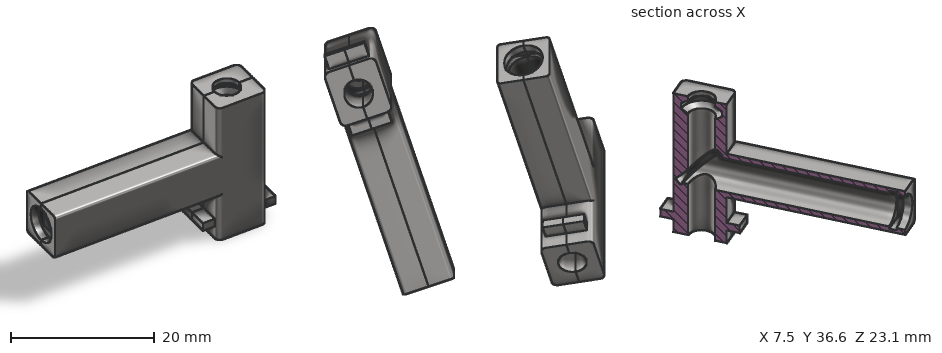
import cadquery as cq
import math

WIDTH = 7.5
COLUMN_DEPTH = 8.0
COLUMN_HEIGHT = 23.1
COLUMN_FILLET = 0.8

OVERALL_LENGTH = 36.57
TAB_LENGTH = 1.95
ARM_HEIGHT = 7.3
ARM_BOTTOM = 7.6
ARM_FILLET = 0.55
ARM_CENTER_Z = ARM_BOTTOM + ARM_HEIGHT / 2
COLUMN_BACK_Y = COLUMN_DEPTH / 2
ARM_END_Y = COLUMN_BACK_Y + TAB_LENGTH - OVERALL_LENGTH

TAB_WIDTH = WIDTH - 2 * COLUMN_FILLET
TAB_THICKNESS = 1.3
TAB_BOTTOM = 2.12

UPRIGHT_BORE_DIAMETER = 4.0
UPRIGHT_BORE_Y = -0.22
ARM_BORE_DIAMETER = 5.5

WINDOW_SIZE = 6.2
WINDOW_THICKNESS = 1.1
WINDOW_LIP = 1.28

LENS_DIAMETER = 6.0
LENS_EDGE = 0.8
LENS_EDGE_TOP_DEPTH = 1.43
LENS_SURFACE_RADIUS = 4.75

MIRROR_LENGTH = 8.78
MIRROR_WIDTH = 6.0
MIRROR_THICKNESS = 1.1
MIRROR_TILT = 45.0


def column():
    bar = cq.Workplane("XY").rect(WIDTH, COLUMN_DEPTH).extrude(COLUMN_HEIGHT)
    return bar.edges("|Z").fillet(COLUMN_FILLET)


def arm():
    """Bar from the middle of the column to the end of the arm."""
    bar = cq.Workplane("XY").box(WIDTH, -ARM_END_Y, ARM_HEIGHT)
    bar = bar.edges("|Y").fillet(ARM_FILLET)
    return bar.translate((0, ARM_END_Y / 2, ARM_CENTER_Z))


def tabs():
    """One bar through the column, whose two ends are the front and back tabs."""
    span = COLUMN_DEPTH + 2 * TAB_LENGTH
    return cq.Workplane("XY").workplane(offset=TAB_BOTTOM).rect(TAB_WIDTH, span).extrude(TAB_THICKNESS)


def upright_bore():
    circle = cq.Workplane("XY").center(0, UPRIGHT_BORE_Y).circle(UPRIGHT_BORE_DIAMETER / 2)
    return circle.extrude(COLUMN_HEIGHT)


def on_mirror_plane(shape):
    """Tilt a shape built on the XY plane so that this plane becomes the lower face of the mirror."""
    tilted = shape.rotate((0, 0, 0), (1, 0, 0), -MIRROR_TILT)
    return tilted.translate((0, UPRIGHT_BORE_Y, ARM_CENTER_Z))


def arm_bore():
    end_face = cq.Workplane("XZ", origin=(0, ARM_END_Y, ARM_CENTER_Z))
    bore = end_face.circle(ARM_BORE_DIAMETER / 2).extrude(-OVERALL_LENGTH)
    behind_mirror = cq.Workplane("XY").rect(OVERALL_LENGTH, OVERALL_LENGTH).extrude(OVERALL_LENGTH)
    return bore.cut(on_mirror_plane(behind_mirror))


def window_pocket():
    near_side = cq.Workplane("XZ", origin=(0, ARM_END_Y + WINDOW_LIP, ARM_CENTER_Z))
    return near_side.rect(WINDOW_SIZE, WINDOW_SIZE).extrude(-WINDOW_THICKNESS)


def lens_pocket():
    radius = LENS_DIAMETER / 2
    sag = LENS_SURFACE_RADIUS - math.sqrt(LENS_SURFACE_RADIUS**2 - radius**2)
    edge_top = COLUMN_HEIGHT - LENS_EDGE_TOP_DEPTH
    edge_bottom = edge_top - LENS_EDGE
    half_angle = math.asin(radius / LENS_SURFACE_RADIUS) / 2
    middle_radius = LENS_SURFACE_RADIUS * math.sin(half_angle)
    middle_sag = LENS_SURFACE_RADIUS * (1 - math.cos(half_angle))
    profile = (
        cq.Workplane("XZ", origin=(0, UPRIGHT_BORE_Y, 0))
        .moveTo(0, edge_bottom - sag)
        .threePointArc((middle_radius, edge_bottom - sag + middle_sag), (radius, edge_bottom))
        .lineTo(radius, edge_top)
        .threePointArc((middle_radius, edge_top + sag - middle_sag), (0, edge_top + sag))
        .close()
    )
    return profile.revolve(360, (0, 0), (0, 1))


def mirror_pocket():
    plate = cq.Workplane("XY").rect(MIRROR_WIDTH, MIRROR_LENGTH).extrude(MIRROR_THICKNESS)
    return on_mirror_plane(plate)


def housing_half(side):
    """One half of the housing: side is -1 for the -X half and +1 for the +X half."""
    other_half = cq.Workplane("XY").rect(WIDTH, 2 * OVERALL_LENGTH).extrude(COLUMN_HEIGHT)
    other_half = other_half.translate((-side * WIDTH / 2, 0, 0))
    half = column().union(arm()).union(tabs()).cut(other_half)
    for hollow in (upright_bore(), arm_bore(), window_pocket(), lens_pocket(), mirror_pocket()):
        half = half.cut(hollow)
    return half


halves = [housing_half(side) for side in (-1, 1)]
result = cq.Compound.makeCompound([half.val() for half in halves])